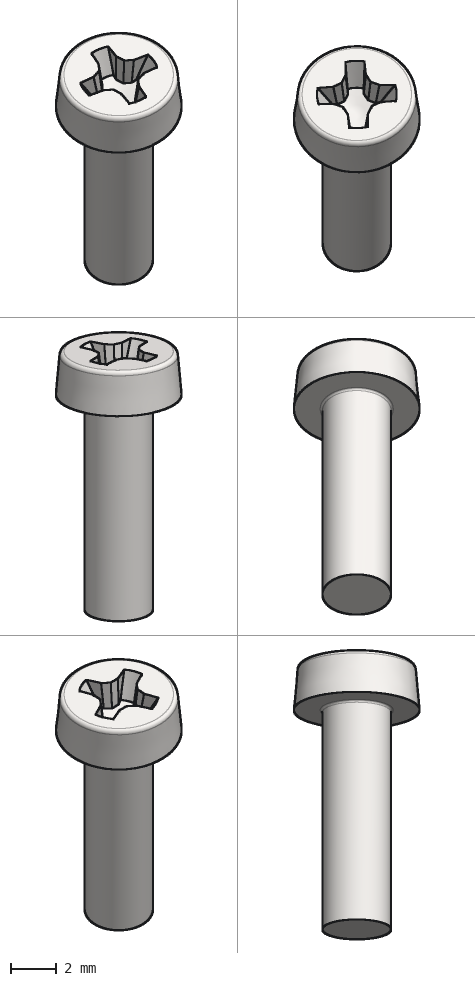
import cadquery as cq
import math

total_length = 12.0
shank_diameter = 3.0
head_diameter = 5.5
head_height = 2.0
head_draft = 5.0
head_edge_radius = 0.2
neck_fillet_radius = 0.1

recess_rim_radius = 1.74
recess_floor_radius = 1.13
recess_wall_depth = 1.22
recess_apex_depth = 1.56
wing_count = 4
wing_reach = 2.4

rim_wing_half_width = 0.38
rim_shoulder = (1.01, 0.45)
rim_corner_radius = 0.89
deep_wing_half_width = 0.34
deep_shoulder = (0.85, 0.35)
deep_corner_radius = 0.75


def make_head_and_shank():
    shank_length = total_length - head_height
    shank = cq.Workplane("XY").circle(shank_diameter / 2).extrude(shank_length)
    head = (
        cq.Workplane("XY", origin=(0, 0, shank_length))
        .circle(head_diameter / 2)
        .extrude(head_height, taper=head_draft)
        .faces(">Z")
        .edges()
        .fillet(head_edge_radius)
    )
    neck = cq.selectors.RadiusNthSelector(0)
    joined = shank.union(head)
    return joined.faces("<Z[1]").edges(neck).fillet(neck_fillet_radius)


def cross_points(half_width, shoulder, corner_radius):
    """Points of the cross, wing by wing, with wings on the diagonals."""
    half_step = math.pi / wing_count
    wing = [
        (shoulder[0], -shoulder[1]),
        (wing_reach, -half_width),
        (wing_reach, half_width),
        shoulder,
        (corner_radius * math.cos(half_step), corner_radius * math.sin(half_step)),
    ]
    points = []
    for index in range(wing_count):
        angle = (2 * index + 1) * half_step
        for along, across in wing:
            x = along * math.cos(angle) - across * math.sin(angle)
            y = along * math.sin(angle) + across * math.cos(angle)
            points.append((x, y))
    return points


def make_recess():
    stretch = recess_apex_depth / recess_wall_depth

    def at_apex(rim_size, deep_size):
        return rim_size + (deep_size - rim_size) * stretch

    apex_shoulder = tuple(at_apex(rim, deep) for rim, deep in zip(rim_shoulder, deep_shoulder))
    cross = (
        cq.Workplane("XY", origin=(0, 0, total_length))
        .polyline(cross_points(rim_wing_half_width, rim_shoulder, rim_corner_radius))
        .close()
        .workplane(offset=-recess_apex_depth)
        .polyline(
            cross_points(
                at_apex(rim_wing_half_width, deep_wing_half_width),
                apex_shoulder,
                at_apex(rim_corner_radius, deep_corner_radius),
            )
        )
        .close()
        .loft(ruled=True)
    )
    envelope = (
        cq.Workplane("XZ")
        .moveTo(0, total_length)
        .lineTo(recess_rim_radius, total_length)
        .lineTo(recess_floor_radius, total_length - recess_wall_depth)
        .lineTo(0, total_length - recess_apex_depth)
        .close()
        .revolve()
    )
    return cross.intersect(envelope)


result = make_head_and_shank().cut(make_recess())